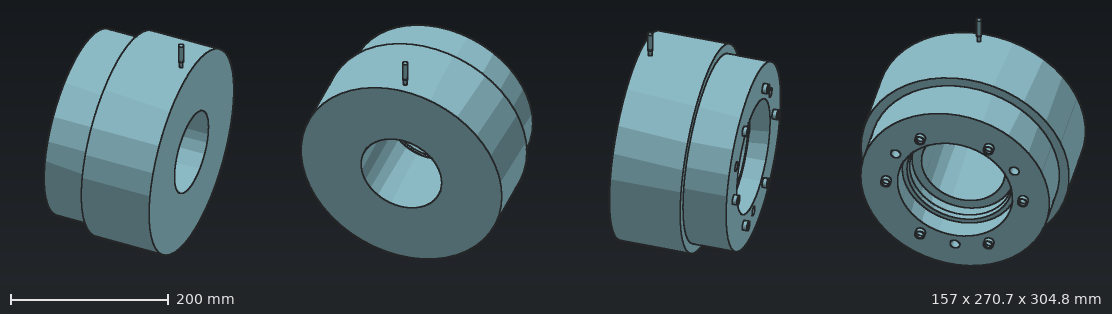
import cadquery as cq

body_diameter = 270.7
flange_diameter = 245.5
screw_head_height = 6.5
flange_length = 57.0
total_length = 157.0
face_x = screw_head_height
shoulder_x = face_x + flange_length

entry_diameter = 149.5
entry_depth = 26.8
taper_large_diameter = 137.2
seat_diameter = 133.0
taper_end_depth = 33.0
seat_depth = 47.0
through_diameter = 108.5

bolt_circle_radius = 89.0
screw_angles = range(0, 360, 60)
screw_head_diameter = 12.5
socket_diameter = 10.0
mouth_diameter = 11.5
socket_depth = 18.3
hole_angles = (30, 150, 270)
hole_diameter = 12.5
hole_depth = 18.3

pin_x = total_length - 14.3
overall_height = 304.8
pin_top_z = overall_height - body_diameter / 2
pin_length = 25.5
pin_diameter = 6.5
stem_diameter = 4.5
stem_embedment = 6.0


def make_body():
    """Revolve the stepped ring section, drawn as (x, radius), about the X axis."""
    section = [
        (face_x, entry_diameter / 2),
        (face_x, flange_diameter / 2),
        (shoulder_x, flange_diameter / 2),
        (shoulder_x, body_diameter / 2),
        (total_length, body_diameter / 2),
        (total_length, through_diameter / 2),
        (face_x + seat_depth, through_diameter / 2),
        (face_x + seat_depth, seat_diameter / 2),
        (face_x + taper_end_depth, seat_diameter / 2),
        (face_x + entry_depth, taper_large_diameter / 2),
        (face_x + entry_depth, entry_diameter / 2),
    ]
    return cq.Workplane("XY").polyline(section).close().revolve(360, (0, 0, 0), (1, 0, 0))


def cylinder_on_bolt_circle(diameter, start_x, length, taper=0):
    """Cylinder along +X, or a cone narrowing by the taper angle, placed on the +Y side."""
    sketch = cq.Workplane("YZ", origin=(start_x, 0, 0)).center(bolt_circle_radius, 0)
    return sketch.circle(diameter / 2).extrude(length, taper=taper)


def repeat_about_axis(tool, angles):
    """Copies of the tool turned about the X axis, from +Y toward +Z."""
    copies = cq.Workplane("XY")
    for angle in angles:
        copies = copies.add(tool.rotate((0, 0, 0), (1, 0, 0), angle))
    return copies.combine()


def make_socket():
    """Round socket with a countersunk mouth."""
    mouth_depth = (mouth_diameter - socket_diameter) / 2
    mouth = cylinder_on_bolt_circle(mouth_diameter, 0, mouth_depth, taper=45)
    return cylinder_on_bolt_circle(socket_diameter, 0, socket_depth).union(mouth)


def make_pin():
    """Vertical pin with a thinner stem that roots in the body."""
    pin_bottom_z = pin_top_z - pin_length
    stem_bottom_z = body_diameter / 2 - stem_embedment
    pin = cq.Workplane("XY", origin=(pin_x, 0, pin_bottom_z))
    pin = pin.circle(pin_diameter / 2).extrude(pin_length)
    stem = cq.Workplane("XY", origin=(pin_x, 0, stem_bottom_z))
    stem = stem.circle(stem_diameter / 2).extrude(pin_bottom_z - stem_bottom_z)
    return pin.union(stem)


screw_head = cylinder_on_bolt_circle(screw_head_diameter, 0, screw_head_height)
plain_hole = cylinder_on_bolt_circle(hole_diameter, face_x, hole_depth)

result = (
    make_body()
    .union(repeat_about_axis(screw_head, screw_angles))
    .cut(repeat_about_axis(make_socket(), screw_angles))
    .cut(repeat_about_axis(plain_hole, hole_angles))
    .union(make_pin())
)